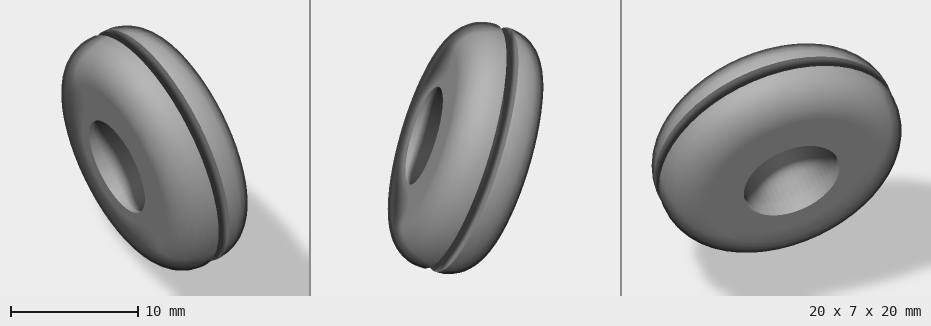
import cadquery as cq

outer_diameter = 20.0
bore_diameter = 8.0
neck_diameter = 14.0
total_width = 7.0
groove_width = 1.0
rim_radius = 2.8

flange_width = (total_width - groove_width) / 2


def flange():
    """Disc from the XZ plane toward -Y, with its outward (-Y) edge rounded."""
    disc = cq.Workplane("XZ").circle(outer_diameter / 2).extrude(flange_width)
    return disc.faces("<Y").edges().fillet(rim_radius)


front_flange = flange().translate((0, -groove_width / 2, 0))
back_flange = front_flange.mirror("XZ")
neck = cq.Workplane("XZ").circle(neck_diameter / 2).extrude(total_width / 2, both=True)
bore = cq.Workplane("XZ").circle(bore_diameter / 2).extrude(total_width / 2, both=True)

result = front_flange.union(neck).union(back_flange).cut(bore)